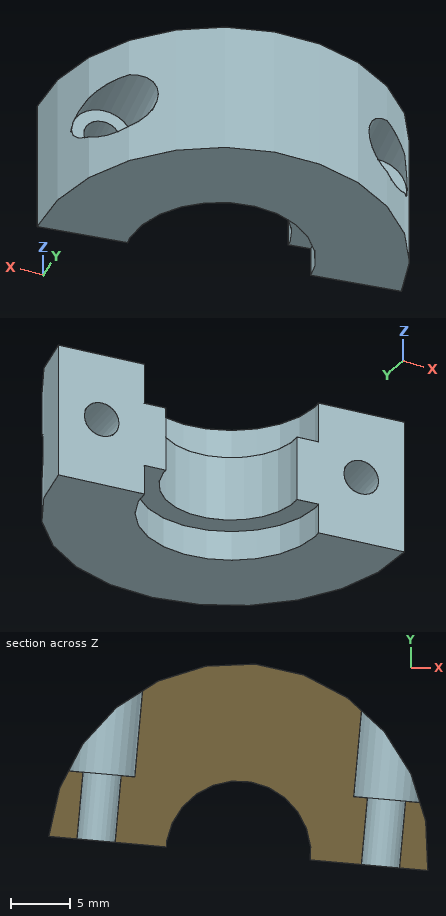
import cadquery as cq

OUTER_RADIUS = 16.0
BORE_RADIUS = 8.1
LIP_RADIUS = 6.1
RING_HEIGHT = 12.5
SPLIT_ANGLE = -5.15
ROUND_SIDES = 24

LIP_BOTTOM = 2.75
LIP_HEIGHT = 6.0

SCREW_OFFSET = 12.0
SCREW_DIAMETER = 3.2
HEAD_DIAMETER = 5.5
HEAD_SEAT = 5.65
SCREW_HEIGHT = RING_HEIGHT / 2

ORIGIN = (0, 0, 0)
Z_DIRECTION = (0, 0, 1)


def faceted_disc(radius, height, bottom, turn):
    """Regular prism about Z with one corner at the angle `turn`."""
    disc = cq.Workplane("XY").polygon(ROUND_SIDES, 2 * radius).extrude(height)
    return disc.rotate(ORIGIN, Z_DIRECTION, turn).translate((0, 0, bottom))


def half_space():
    """Block covering everything behind the split face."""
    block = cq.Workplane("XY").box(
        4 * OUTER_RADIUS, 2 * OUTER_RADIUS, RING_HEIGHT, centered=(True, False, False)
    )
    return block.rotate(ORIGIN, Z_DIRECTION, SPLIT_ANGLE)


def half_ring():
    """Half ring with the bore opened wider above and below the lip."""
    lip_top = LIP_BOTTOM + LIP_HEIGHT
    body = faceted_disc(OUTER_RADIUS, RING_HEIGHT, 0, SPLIT_ANGLE)
    body = body.cut(faceted_disc(LIP_RADIUS, RING_HEIGHT, 0, -SPLIT_ANGLE))
    body = body.cut(faceted_disc(BORE_RADIUS, LIP_BOTTOM, 0, 0))
    body = body.cut(faceted_disc(BORE_RADIUS, RING_HEIGHT - lip_top, lip_top, 0))
    return body.intersect(half_space())


def screw_hole(offset):
    """Through hole with a head recess running out through the outer wall."""
    face = cq.Workplane("XZ").center(offset, SCREW_HEIGHT)
    shank = face.polygon(ROUND_SIDES, SCREW_DIAMETER).extrude(-OUTER_RADIUS)
    head = face.workplane(offset=-HEAD_SEAT).polygon(ROUND_SIDES, HEAD_DIAMETER).extrude(-OUTER_RADIUS)
    return shank.union(head).rotate(ORIGIN, Z_DIRECTION, SPLIT_ANGLE)


result = half_ring()
for side in (-1, 1):
    result = result.cut(screw_hole(side * SCREW_OFFSET))